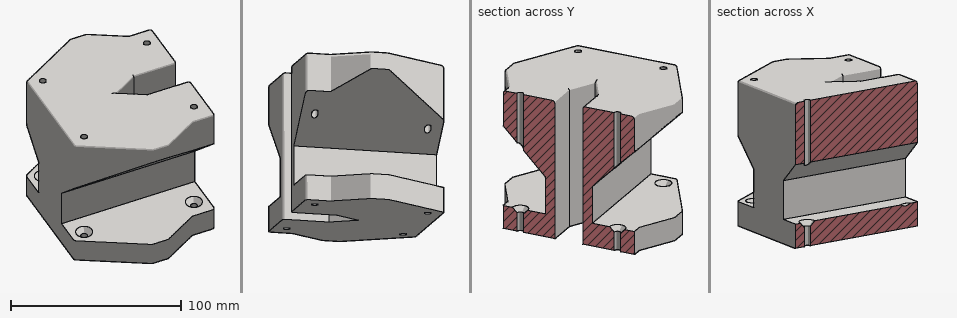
import cadquery as cq
import math

width = 111.0
depth = 87.0
height = 89.0
edge_radius = 2.0

flank_slope = math.tan(math.radians(60))
side_flat_start = 39.8
side_flat_end = 50.4
arm_half_width = 43.0
front_half_width = width / 2 - side_flat_start / flank_slope
arm_start = side_flat_end + (width / 2 - arm_half_width) * flank_slope

slot_half_width = 9.0
slot_tip = 43.5
slot_shoulder = slot_tip + slot_half_width * flank_slope

base_height = 15.0
neck_half_width = 15.5
neck_top = 38.6
head_side_bottom = neck_top + width / 2 - neck_half_width

hole_diameter = 4.0
sink_diameter = 10.0
sink_angle = 90
back_hole = (31.7, 78.6)
front_hole = (27.9, 8.8)


def make_block():
    """Full-height prism of the plan outline with rounded outer edges."""
    right_side = [
        (front_half_width, 0),
        (width / 2, side_flat_start),
        (width / 2, side_flat_end),
        (arm_half_width, arm_start),
        (arm_half_width, depth),
        (slot_half_width, depth),
        (slot_half_width, slot_shoulder),
    ]
    left_side = [(-x, y) for x, y in reversed(right_side)]
    outline = right_side + [(0, slot_tip)] + left_side
    block = cq.Workplane("XY").polyline(outline).close().extrude(height)

    margin = 1.1
    slot_zone = cq.selectors.BoxSelector(
        (-slot_half_width - margin, slot_tip - margin, 0),
        (slot_half_width + margin, slot_shoulder + margin, height),
    )
    upright = cq.selectors.ParallelDirSelector(cq.Vector(0, 0, 1))
    block = block.edges(cq.selectors.SubtractSelector(upright, slot_zone)).fillet(edge_radius)
    return block.faces(">Z").edges().fillet(edge_radius)


def make_side_recess():
    """Space between base and head on the right of the neck."""
    profile = [
        (neck_half_width, base_height),
        (width / 2, base_height),
        (width / 2, head_side_bottom),
        (neck_half_width, neck_top),
    ]
    return cq.Workplane("XZ").polyline(profile).close().extrude(-depth)


def make_screw_cut(x, y):
    """Hole through head and base, countersunk in the top of the base."""
    hole = cq.Workplane("XY").center(x, y).circle(hole_diameter / 2).extrude(height)
    sink_radius = sink_diameter / 2
    sink_depth = sink_radius / math.tan(math.radians(sink_angle / 2))
    sink = cq.Solid.makeCone(
        0, sink_radius, sink_depth, pnt=cq.Vector(x, y, base_height - sink_depth)
    )
    return hole.union(cq.Workplane(sink))


recess = make_side_recess()
result = make_block().cut(recess).cut(recess.mirror("YZ"))
for hole_x, hole_y in (back_hole, front_hole):
    for side in (-1, 1):
        result = result.cut(make_screw_cut(side * hole_x, hole_y))